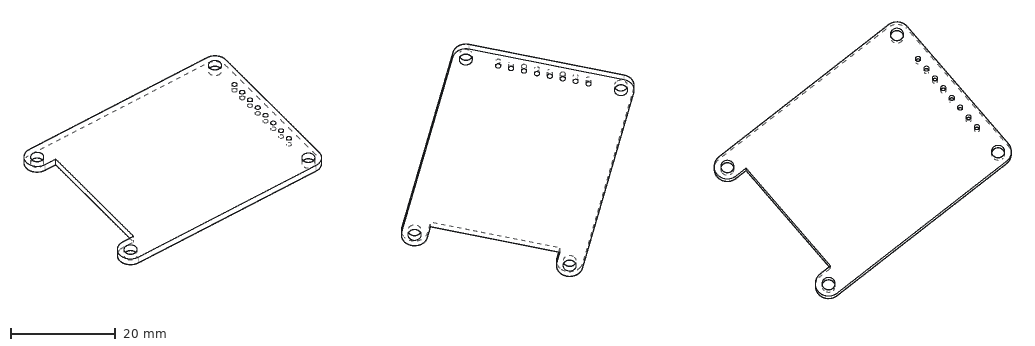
import cadquery as cq

width = 35.55
length = 47.0
thickness = 1.6
corner_radius = 2.55

tab_width = 2 * corner_radius
notch_width = width - 2 * tab_width
notch_depth = 5.07

mount_hole_diameter = 2.5
mount_x = width / 2 - corner_radius
mount_y = length / 2 - corner_radius
pin_hole_diameter = 1.0
pin_count = 8
pin_pitch = 2.55


def plate_body():
    """Closed outline with rounded rear corners and two round-ended tabs."""
    half_width = width / 2
    half_length = length / 2
    half_notch = notch_width / 2
    notch_y = -half_length + notch_depth
    return (
        cq.Workplane("XY")
        .moveTo(-half_notch, notch_y)
        .lineTo(half_notch, notch_y)
        .lineTo(half_notch, -mount_y)
        .threePointArc((mount_x, -half_length), (half_width, -mount_y))
        .lineTo(half_width, mount_y)
        .radiusArc((mount_x, half_length), -corner_radius)
        .lineTo(-mount_x, half_length)
        .radiusArc((-half_width, mount_y), -corner_radius)
        .lineTo(-half_width, -mount_y)
        .threePointArc((-mount_x, -half_length), (-half_notch, -mount_y))
        .close()
        .extrude(thickness)
    )


def through_holes(centers, diameter):
    """Cylinders that cut through the full plate thickness."""
    return cq.Workplane("XY").pushPoints(centers).circle(diameter / 2).extrude(thickness)


mount_centers = [(x, y) for x in (-mount_x, mount_x) for y in (-mount_y, mount_y)]

first_pin_x = -(pin_count - 1) * pin_pitch / 2
pin_centers = [(first_pin_x + i * pin_pitch, mount_y) for i in range(pin_count)]

result = (
    plate_body()
    .cut(through_holes(mount_centers, mount_hole_diameter))
    .cut(through_holes(pin_centers, pin_hole_diameter))
)